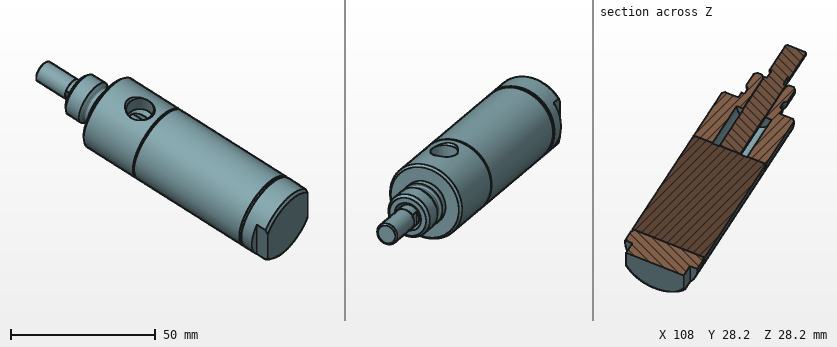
import cadquery as cq
import math

OVERALL_LENGTH = 108.0
ROD_THREAD_END = 13.0
NOSE_START = 15.8
RELIEF_START = 23.6
RELIEF_END = 26.1
HEAD_FACE = 28.5
CAVITY_START = 32.4
HEAD_END = 50.8
TUBE_END = 97.6
CAP_FLAT_START = 103.2

BARREL_RADIUS = 14.09
NOSE_RADIUS = 8.1
RELIEF_RADIUS = 6.9
ROD_RADIUS = 4.1
THREAD_RADIUS = 4.0

ROD_TIP_CHAMFER = 0.4
ROD_TIP_RADIUS = 3.3
ROD_FLAT_END = 16.2
ROD_FLAT_DISTANCE = 6.5

NOSE_CHAMFER = 1.0
HEAD_CHAMFER = 0.9
RELIEF_FILLET = 0.6
BORE_MOUTH_RADIUS = 5.2
CAVITY_RADIUS = 6.7

PORT_X = 43.0
PORT_RADIUS = 4.7
PORT_MOUTH_RADIUS = 5.5
PORT_WALL_BOTTOM = 7.1
PORT_TIP_ANGLE = 118.0

TUBE_CHAMFER = 0.6
CAP_NECK_LENGTH = 0.9
CAP_NECK_RADIUS = 13.8
CAP_CHAMFER = 1.0
CAP_FLAT_DISTANCE = 22.5

CUT_MARGIN = 1.1
SELECTION_MARGIN = 0.1


def revolve_about_x(profile):
    """Turn a list of (x, radius) points into a solid of revolution about the X axis."""
    return cq.Workplane("XY").polyline(profile).close().revolve(360, (0, 0, 0), (1, 0, 0))


def cylinder_along_x(start, end, radius):
    return cq.Workplane("YZ").workplane(offset=start).circle(radius).extrude(end - start)


def cut_wrench_flats(body, start, end, flat_distance, body_radius):
    """Mill two flats, facing -Y and +Y, between two stations of a round body."""
    for side in (-1, 1):
        cutter = cq.Workplane("XY").box(end - start, body_radius, 2 * (body_radius + CUT_MARGIN))
        cutter = cutter.translate(((start + end) / 2, side * (flat_distance + body_radius) / 2, 0))
        body = body.cut(cutter)
    return body


def make_port_cutter():
    """Countersunk port with a conical bottom, turned about a vertical axis."""
    tip_depth = PORT_RADIUS / math.tan(math.radians(PORT_TIP_ANGLE / 2))
    mouth_depth = PORT_MOUTH_RADIUS - PORT_RADIUS
    profile = [
        (0, PORT_WALL_BOTTOM - tip_depth),
        (PORT_RADIUS, PORT_WALL_BOTTOM),
        (PORT_RADIUS, BARREL_RADIUS - mouth_depth),
        (PORT_MOUTH_RADIUS, BARREL_RADIUS),
        (PORT_MOUTH_RADIUS, BARREL_RADIUS + CUT_MARGIN),
        (0, BARREL_RADIUS + CUT_MARGIN),
    ]
    cutter = cq.Workplane("XZ").polyline(profile).close().revolve(360, (0, 0, 0), (0, 1, 0))
    return cutter.translate((PORT_X, 0, 0))


def make_head():
    """Front head with the mounting nose, thread relief, rod bore, air cavity and port."""
    mouth_depth = BORE_MOUTH_RADIUS - ROD_RADIUS
    head = revolve_about_x([
        (NOSE_START, BORE_MOUTH_RADIUS),
        (NOSE_START, NOSE_RADIUS - NOSE_CHAMFER),
        (NOSE_START + NOSE_CHAMFER, NOSE_RADIUS),
        (RELIEF_START - (NOSE_RADIUS - RELIEF_RADIUS), NOSE_RADIUS),
        (RELIEF_START, RELIEF_RADIUS),
        (RELIEF_END, RELIEF_RADIUS),
        (RELIEF_END, NOSE_RADIUS),
        (HEAD_FACE, NOSE_RADIUS),
        (HEAD_FACE, BARREL_RADIUS - HEAD_CHAMFER),
        (HEAD_FACE + HEAD_CHAMFER, BARREL_RADIUS),
        (HEAD_END, BARREL_RADIUS),
        (HEAD_END, CAVITY_RADIUS),
        (CAVITY_START, CAVITY_RADIUS),
        (CAVITY_START, ROD_RADIUS),
        (NOSE_START + mouth_depth, ROD_RADIUS),
    ])
    relief_corners = cq.selectors.BoxSelector(
        (RELIEF_START - SELECTION_MARGIN, -NOSE_RADIUS, -NOSE_RADIUS),
        (RELIEF_END + SELECTION_MARGIN, NOSE_RADIUS, NOSE_RADIUS),
        boundingbox=False,
    )
    head = head.edges(relief_corners).edges(cq.selectors.RadiusNthSelector(0)).fillet(RELIEF_FILLET)
    return head.cut(make_port_cutter())


def make_rod():
    """Piston rod with a threaded tip and wrench flats, filling the head's rod bore."""
    rod = revolve_about_x([
        (0, 0),
        (0, ROD_TIP_RADIUS),
        (ROD_TIP_CHAMFER, THREAD_RADIUS),
        (ROD_THREAD_END, THREAD_RADIUS),
        (ROD_THREAD_END, ROD_RADIUS),
        (HEAD_END, ROD_RADIUS),
        (HEAD_END, 0),
    ])
    return cut_wrench_flats(rod, ROD_THREAD_END, ROD_FLAT_END, ROD_FLAT_DISTANCE, ROD_RADIUS)


def make_tube():
    """Plain barrel section, chamfered where it meets the head."""
    tube = cylinder_along_x(HEAD_END, TUBE_END, BARREL_RADIUS)
    return tube.faces("<X").chamfer(TUBE_CHAMFER)


def make_cap():
    """Rear cap with a short neck at the joint, an end chamfer and wrench flats."""
    cap = cylinder_along_x(TUBE_END + CAP_NECK_LENGTH, OVERALL_LENGTH, BARREL_RADIUS)
    cap = cap.faces(">X").chamfer(CAP_CHAMFER)
    neck = cylinder_along_x(TUBE_END, TUBE_END + CAP_NECK_LENGTH, CAP_NECK_RADIUS)
    cap = cap.union(neck)
    return cut_wrench_flats(cap, CAP_FLAT_START, OVERALL_LENGTH, CAP_FLAT_DISTANCE, BARREL_RADIUS)


head = make_head()
rod = make_rod()
tube = make_tube()
cap = make_cap()

result = cq.Compound.makeCompound([head.val(), rod.val(), tube.val(), cap.val()])